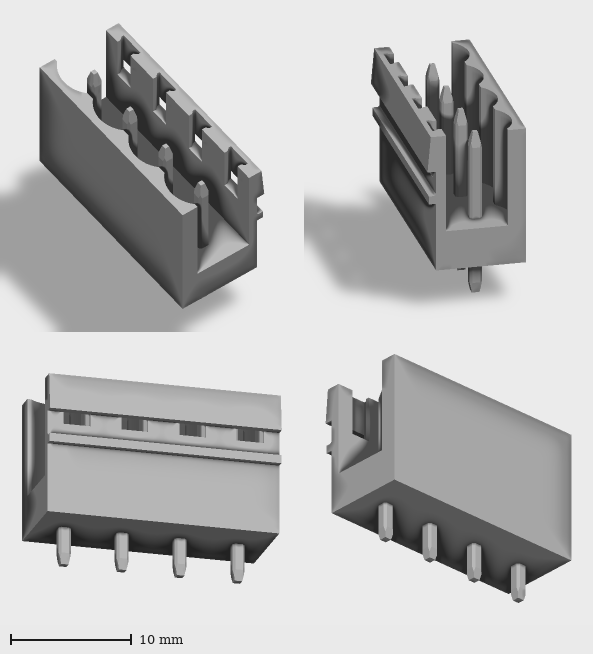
import cadquery as cq

pin_count = 4
length = 20.0
pitch = length / pin_count
pin_xs = [pitch * (i + 0.5) for i in range(pin_count)]

height = 12.0
depth = 7.68
floor_z = 3.45
front_wall = 1.55
back_wall = 0.85
back_wall_inner_y = depth - back_wall

latch_tip_y = 8.42
latch_top_y = 8.15
latch_bottom_z = 8.85

ledge_y = 8.3
ledge_bottom_z = 5.98
ledge_top_z = 6.7
ledge_corner_chamfer = 0.15

scallop_width = 4.28
scallop_depth = 0.85

keyway_back_width = 2.35
keyway_mouth_width = 1.85
keyway_bottom_z = 7.85
keyway_neck_length = 0.32
keyway_flare_length = 0.3

pin_y = 3.78
pin_width = 1.05
pin_corner_chamfer = 0.2
pin_top_z = 11.15
pin_top_taper_z = 9.85
pin_top_tip_width = 0.42
pin_bottom_z = -3.2
pin_bottom_taper_z = -2.25
pin_bottom_tip_width = 0.65


def make_channel():
    """U-shaped housing with the latch and ledge on its back wall."""
    outline = [
        (0, 0),
        (depth, 0),
        (depth, ledge_bottom_z),
        (ledge_y, ledge_bottom_z),
        (ledge_y, ledge_top_z),
        (depth + ledge_corner_chamfer, ledge_top_z),
        (depth, ledge_top_z + ledge_corner_chamfer),
        (depth, latch_bottom_z),
        (latch_tip_y, latch_bottom_z),
        (latch_top_y, height),
        (back_wall_inner_y, height),
        (back_wall_inner_y, floor_z),
        (front_wall, floor_z),
        (front_wall, height),
        (0, height),
    ]
    return cq.Workplane("YZ").polyline(outline).close().extrude(length)


def make_scallop(x):
    """Cutter for one shallow arc in the front wall, from the floor to the top."""
    half = scallop_width / 2
    return (
        cq.Workplane("XY", origin=(x, front_wall, floor_z))
        .moveTo(-half, 0)
        .threePointArc((0, -scallop_depth), (half, 0))
        .close()
        .extrude(height - floor_z)
    )


def make_keyway(x):
    """Cutter for one keyway, as deep as the back wall, so it opens below the latch."""
    mouth = keyway_mouth_width / 2
    back = keyway_back_width / 2
    flare_end = keyway_neck_length + keyway_flare_length
    outline = [
        (-mouth, 0),
        (-mouth, keyway_neck_length),
        (-back, flare_end),
        (-back, back_wall),
        (back, back_wall),
        (back, flare_end),
        (mouth, keyway_neck_length),
        (mouth, 0),
    ]
    return (
        cq.Workplane("XY", origin=(x, back_wall_inner_y, keyway_bottom_z))
        .polyline(outline)
        .close()
        .extrude(height - keyway_bottom_z)
    )


def make_taper(x, base_z, base_width, tip_z, tip_width):
    """Square pyramid frustum between two heights on a pin axis."""
    return (
        cq.Workplane("XY", origin=(x, pin_y, base_z))
        .rect(base_width, base_width)
        .workplane(offset=tip_z - base_z)
        .rect(tip_width, tip_width)
        .loft(ruled=True)
    )


def make_pin(x):
    """Square pin with chamfered long edges and a pyramid taper at each end."""
    chamfered_bar = (
        cq.Workplane("XY", origin=(x, pin_y, pin_bottom_z))
        .rect(pin_width, pin_width)
        .extrude(pin_top_z - pin_bottom_z)
        .edges("|Z")
        .chamfer(pin_corner_chamfer)
    )
    tapered_bar = (
        make_taper(x, pin_bottom_taper_z, pin_width, pin_top_taper_z, pin_width)
        .union(make_taper(x, pin_top_taper_z, pin_width, pin_top_z, pin_top_tip_width))
        .union(make_taper(x, pin_bottom_taper_z, pin_width, pin_bottom_z, pin_bottom_tip_width))
    )
    return chamfered_bar.intersect(tapered_bar)


def make_housing(pins):
    """Channel with scallops, keyways and a matching hole for each pin."""
    body = make_channel()
    for x in pin_xs:
        body = body.cut(make_scallop(x)).cut(make_keyway(x))
    for pin in pins:
        body = body.cut(pin)
    return body


pins = [make_pin(x) for x in pin_xs]
housing = make_housing(pins)

result = cq.Compound.makeCompound([housing.val(), *[pin.val() for pin in pins]])